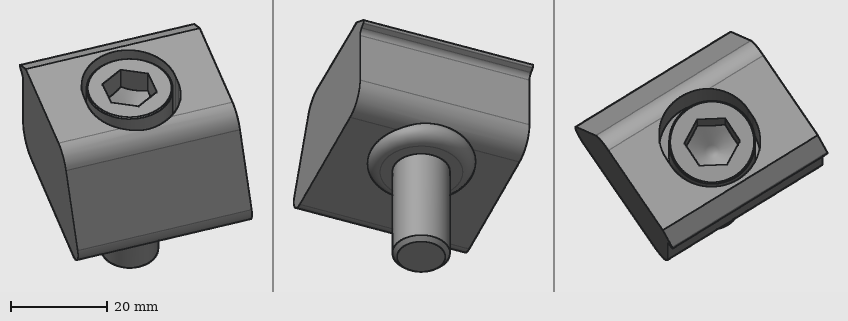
import cadquery as cq
import math


SHANK_DIAMETER = 12.0
SHANK_RADIUS = SHANK_DIAMETER / 2
HEAD_RADIUS = 8.95
HEAD_HEIGHT = SHANK_DIAMETER
HEAD_TOP = 24.45
HEAD_SEAT = HEAD_TOP - HEAD_HEIGHT
HEAD_CHAMFER = 0.3
SCREW_BOTTOM = -22.65
TIP_CHAMFER = 0.95
SOCKET_ACROSS_FLATS = 10.0
SOCKET_DEPTH = 4.95
SOCKET_CONE_ANGLE = 120.0

WASHER_RADIUS = 11.3
RIM_RADIUS = 2.7
WASHER_THICKNESS = 2 * RIM_RADIUS

BLOCK_WIDTH = 38.1
CREST_X = -10.85
CREST_Z = 48.5 + SCREW_BOTTOM
LEFT_FACE_X = -12.7
LEFT_END_X = -14.7
RIGHT_END_X = LEFT_END_X + 37.65
TOP_SLOPE = 5.3
UNDERSIDE_SLOPE = 6.6
RIGHT_FACE_ANGLE = 65.0
NOSE_ANGLE = 30.0
NOSE_RADIUS = 0.5
NOSE_ROOT_RADIUS = 1.6
LARGE_CORNER_RADIUS = 6.0
TOE_RADIUS = 3.0

SLOT_WIDTH = 20.0
SLOT_LENGTH = 21.9
SLOT_CENTER_X = 0.95


def slope(angle):
    return math.tan(math.radians(angle))


def block_corners():
    """Sharp profile corners, counter-clockwise from the crest, before rounding."""
    nose_tip_x = LEFT_END_X - NOSE_RADIUS * (1 / math.sin(math.radians(NOSE_ANGLE)) - 1)
    nose_tip_z = CREST_Z - (CREST_X - nose_tip_x) * slope(NOSE_ANGLE)
    nose_root_z = nose_tip_z - (LEFT_FACE_X - nose_tip_x) * slope(NOSE_ANGLE)

    toe_x = RIGHT_END_X - TOE_RADIUS
    toe_z = TOE_RADIUS
    under_z = toe_z - TOE_RADIUS / math.cos(math.radians(UNDERSIDE_SLOPE))
    right_x = toe_x + TOE_RADIUS / math.sin(math.radians(RIGHT_FACE_ANGLE))

    heel_z = under_z + (toe_x - LEFT_FACE_X) * slope(UNDERSIDE_SLOPE)
    toe_corner_x = (
        (under_z - toe_z + toe_x * slope(UNDERSIDE_SLOPE) - right_x * slope(RIGHT_FACE_ANGLE))
        / (slope(UNDERSIDE_SLOPE) - slope(RIGHT_FACE_ANGLE))
    )
    toe_corner_z = under_z - (toe_corner_x - toe_x) * slope(UNDERSIDE_SLOPE)
    shoulder_x = (
        (CREST_Z - toe_z + CREST_X * slope(TOP_SLOPE) - right_x * slope(RIGHT_FACE_ANGLE))
        / (slope(TOP_SLOPE) - slope(RIGHT_FACE_ANGLE))
    )
    shoulder_z = CREST_Z - (shoulder_x - CREST_X) * slope(TOP_SLOPE)
    return {
        "crest": (CREST_X, CREST_Z),
        "nose tip": (nose_tip_x, nose_tip_z),
        "nose root": (LEFT_FACE_X, nose_root_z),
        "heel": (LEFT_FACE_X, heel_z),
        "toe": (toe_corner_x, toe_corner_z),
        "shoulder": (shoulder_x, shoulder_z),
    }


def round_corner(block, corner, radius):
    """Round the edge along Y that passes through a profile corner."""
    x, z = corner
    edge = block.edges(cq.selectors.NearestToPointSelector((x, 0, z)))
    return edge.fillet(radius)


def make_block(washer):
    corners = block_corners()
    block = (
        cq.Workplane("XZ")
        .polyline(list(corners.values()))
        .close()
        .extrude(BLOCK_WIDTH / 2, both=True)
    )
    block = round_corner(block, corners["nose tip"], NOSE_RADIUS)
    block = round_corner(block, corners["nose root"], NOSE_ROOT_RADIUS)
    block = round_corner(block, corners["heel"], LARGE_CORNER_RADIUS)
    block = round_corner(block, corners["toe"], TOE_RADIUS)
    block = round_corner(block, corners["shoulder"], LARGE_CORNER_RADIUS)

    head_slot = (
        cq.Workplane("XY", origin=(SLOT_CENTER_X, 0, HEAD_SEAT))
        .slot2D(SLOT_LENGTH, SLOT_WIDTH)
        .extrude(CREST_Z - HEAD_SEAT)
    )
    shank_hole = cq.Workplane("XY").circle(SHANK_RADIUS).extrude(HEAD_SEAT)
    return block.cut(head_slot).cut(shank_hole).cut(washer)


def make_washer():
    flat_radius = WASHER_RADIUS - RIM_RADIUS
    return (
        cq.Workplane("XZ")
        .moveTo(SHANK_RADIUS, 0)
        .lineTo(flat_radius, 0)
        .threePointArc((WASHER_RADIUS, RIM_RADIUS), (flat_radius, WASHER_THICKNESS))
        .lineTo(SHANK_RADIUS, WASHER_THICKNESS)
        .close()
        .revolve(360, (0, 0), (0, 1))
    )


def make_screw():
    shank = (
        cq.Workplane("XY", origin=(0, 0, SCREW_BOTTOM))
        .circle(SHANK_RADIUS)
        .extrude(HEAD_SEAT - SCREW_BOTTOM)
        .faces("<Z")
        .chamfer(TIP_CHAMFER)
    )
    head = (
        cq.Workplane("XY", origin=(0, 0, HEAD_SEAT))
        .circle(HEAD_RADIUS)
        .extrude(HEAD_HEIGHT)
        .faces(">Z")
        .chamfer(HEAD_CHAMFER)
    )
    return shank.union(head).cut(make_socket())


def make_socket():
    """Hexagonal socket whose conical floor reaches out to the hexagon corners."""
    corner_radius = SOCKET_ACROSS_FLATS / 2 / math.cos(math.pi / 6)
    cone_depth = corner_radius / slope(SOCKET_CONE_ANGLE / 2)
    hexagon = (
        cq.Workplane("XY", origin=(0, 0, HEAD_TOP))
        .polygon(6, 2 * corner_radius)
        .extrude(-SOCKET_DEPTH - cone_depth)
    )
    floor_z = HEAD_TOP - SOCKET_DEPTH
    pointed_bore = (
        cq.Workplane("XZ")
        .moveTo(0, HEAD_TOP)
        .lineTo(corner_radius, HEAD_TOP)
        .lineTo(corner_radius, floor_z)
        .lineTo(0, floor_z - cone_depth)
        .close()
        .revolve(360, (0, 0), (0, 1))
    )
    return hexagon.intersect(pointed_bore)


washer = make_washer()
block = make_block(washer)
screw = make_screw()

result = cq.Compound.makeCompound([block.val(), washer.val(), screw.val()])